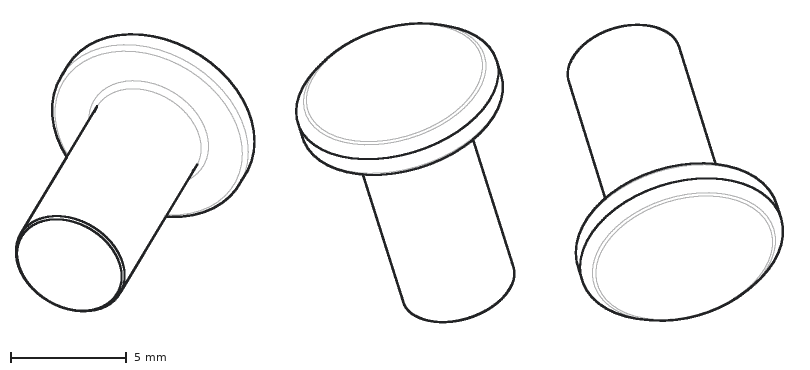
import cadquery as cq

HEAD_DIAMETER = 9.0
HEAD_THICKNESS = 1.5
SHANK_DIAMETER = 5.0
SHANK_LENGTH = 10.0

CROWN_CHAMFER = 0.5
HEAD_FILLET = 0.2
NECK_FILLET = 0.25
TIP_CHAMFER = 0.1


def make_head():
    """Disc from Y = 0 to +Y, chamfered on the far face, with both face edges rounded."""
    head = cq.Workplane("XZ").circle(HEAD_DIAMETER / 2).extrude(-HEAD_THICKNESS)
    head = head.faces(">Y").edges().chamfer(CROWN_CHAMFER)
    head = head.faces(">Y").edges().fillet(HEAD_FILLET)
    return head.faces("<Y").edges().fillet(HEAD_FILLET)


def make_shank():
    """Cylinder from the head's underside toward -Y, with a broken edge at its tip."""
    shank = cq.Workplane("XZ").circle(SHANK_DIAMETER / 2).extrude(SHANK_LENGTH)
    return shank.faces("<Y").edges().chamfer(TIP_CHAMFER)


def blend_neck(pin):
    """Fillet the circle where the shank meets the head's underside, at Y = 0."""
    neck_circle = cq.selectors.RadiusNthSelector(0)
    return pin.faces("|Y").faces("<Y[1]").edges(neck_circle).fillet(NECK_FILLET)


result = blend_neck(make_head().union(make_shank()))